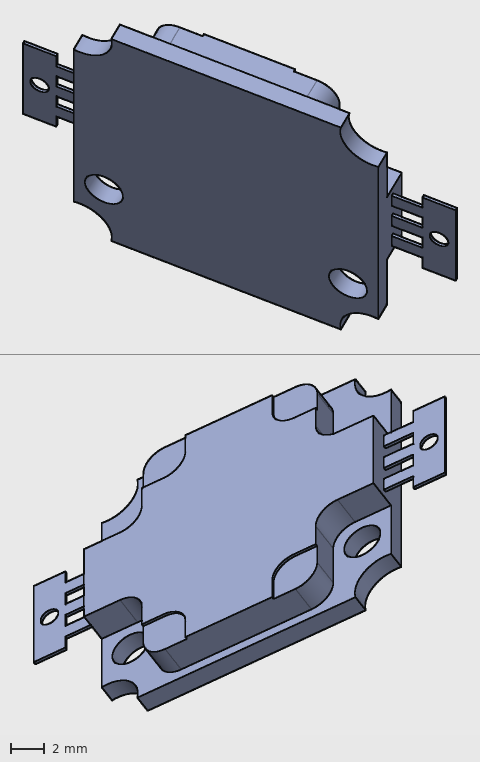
import cadquery as cq

PLATE_SIDE = 20.0
PLATE_THICKNESS = 1.2
NOTCH_RADIUS = 2.1
NOTCH_INSET = 0.4

MOUNT_HOLE_DIAMETER = 2.5
MOUNT_HOLE_X = 8.0
MOUNT_HOLE_Z = -5.17

TOTAL_DEPTH = 3.2
FRAME_WIDTH = 12.0
FRAME_HEIGHT = 18.52
LUG_HEIGHT = 6.2
FRAME_FILLET = 1.5
RECESS_SIDE = 3.0
RECESS_DEPTH = 0.17

OVERALL_LENGTH = 28.4
LEAD_THICKNESS = 0.2
LEAD_Y = 1.82
PAD_WIDTH = 2.2
PAD_HEIGHT = 7.0
LEAD_HOLE_DIAMETER = 1.22
LEG_COUNT = 3
LEG_HEIGHT = 1.0
LEG_PITCH = 2.0

SIDES = (-1, 1)
CORNERS = [(sx, sz) for sx in SIDES for sz in SIDES]


def xz_plane(y):
    """Upright sketch plane at depth y: local x and y run along global X and Z."""
    return cq.Workplane(cq.Plane(origin=(0, y, 0), xDir=(1, 0, 0), normal=(0, -1, 0)))


def extrude_back(sketch, depth):
    """Extrude an upright sketch toward +Y."""
    return sketch.extrude(-depth)


def make_plate():
    """Square plate with a round notch in each corner and two mounting holes."""
    plate = extrude_back(xz_plane(0).rect(PLATE_SIDE, PLATE_SIDE), PLATE_THICKNESS)

    notch_centre = PLATE_SIDE / 2 - NOTCH_INSET
    notch_points = [(sx * notch_centre, sz * notch_centre) for sx, sz in CORNERS]
    notches = extrude_back(xz_plane(0).pushPoints(notch_points).circle(NOTCH_RADIUS), PLATE_THICKNESS)

    hole_points = [(side * MOUNT_HOLE_X, MOUNT_HOLE_Z) for side in SIDES]
    holes = extrude_back(xz_plane(0).pushPoints(hole_points).circle(MOUNT_HOLE_DIAMETER / 2), PLATE_THICKNESS)
    return plate.cut(notches).cut(holes)


def make_frame():
    """Upright column crossed by a wide band, with a shallow relief at each column corner."""
    depth = TOTAL_DEPTH - PLATE_THICKNESS
    column = extrude_back(xz_plane(PLATE_THICKNESS).rect(FRAME_WIDTH, FRAME_HEIGHT), depth)
    column = column.edges("|Y").fillet(FRAME_FILLET)
    band = extrude_back(xz_plane(PLATE_THICKNESS).rect(PLATE_SIDE, LUG_HEIGHT), depth)
    box_x = FRAME_WIDTH / 2 + FRAME_FILLET
    box_z = LUG_HEIGHT / 2 + FRAME_FILLET
    inside_corners = cq.selectors.BoxSelector((-box_x, 0, -box_z), (box_x, TOTAL_DEPTH, box_z))
    frame = column.union(band).edges("|Y").edges(inside_corners).fillet(FRAME_FILLET)

    recess_points = [(sx * FRAME_WIDTH / 2, sz * FRAME_HEIGHT / 2) for sx, sz in CORNERS]
    recess_sketch = xz_plane(TOTAL_DEPTH - RECESS_DEPTH).pushPoints(recess_points)
    recesses = extrude_back(recess_sketch.rect(2 * RECESS_SIDE, 2 * RECESS_SIDE), RECESS_DEPTH)
    return frame.cut(recesses.edges("|Y").fillet(FRAME_FILLET))


def make_housing():
    """Plate and frame, moulded as one body."""
    return make_plate().union(make_frame())


def make_lead(side):
    """One lead butting against the housing; side is -1 for -X and +1 for +X."""
    pad_x = side * (OVERALL_LENGTH - PAD_WIDTH) / 2
    pad = extrude_back(xz_plane(LEAD_Y).center(pad_x, 0).rect(PAD_WIDTH, PAD_HEIGHT), LEAD_THICKNESS)

    leg_length = (OVERALL_LENGTH - PLATE_SIDE) / 2 - PAD_WIDTH
    leg_x = side * (PLATE_SIDE + leg_length) / 2
    legs = extrude_back(
        xz_plane(LEAD_Y).center(leg_x, 0).rarray(0.28, LEG_PITCH, 1, LEG_COUNT).rect(leg_length, LEG_HEIGHT),
        LEAD_THICKNESS,
    )
    hole = extrude_back(xz_plane(LEAD_Y).center(pad_x, 0).circle(LEAD_HOLE_DIAMETER / 2), LEAD_THICKNESS)
    return pad.union(legs).cut(hole)


housing = make_housing()
leads = [make_lead(side).val() for side in SIDES]

result = cq.Compound.makeCompound([housing.val(), *leads])